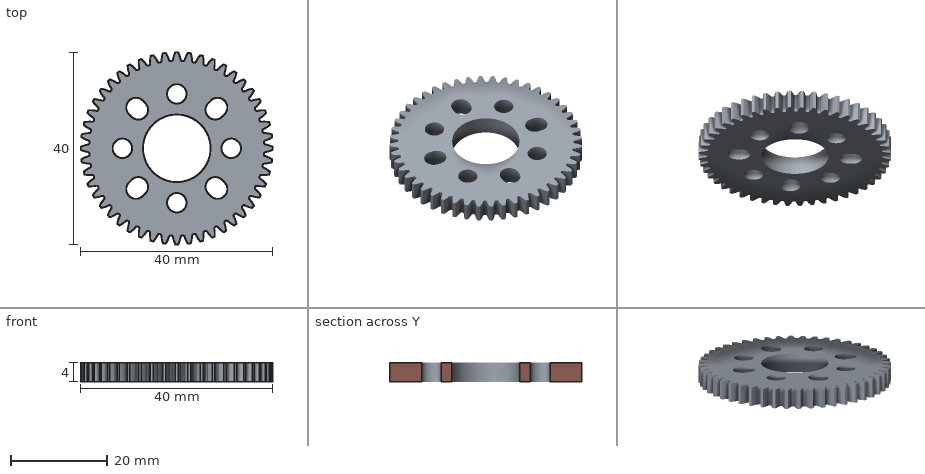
import cadquery as cq
import math

tooth_count = 48
outer_radius = 20.0
gear_module = 2 * outer_radius / (tooth_count + 2)
pitch_radius = gear_module * tooth_count / 2
dedendum = 1.25 * gear_module
root_radius = pitch_radius - dedendum
pressure_angle = math.radians(20)
base_radius = pitch_radius * math.cos(pressure_angle)
root_fillet = 0.3
thickness = 4.0

bore_diameter = 14.0
hole_diameter = 4.0
grid_offset = 8.0
hole_circle_radius = grid_offset * math.sqrt(2)
slot_outer_radius = 12.0
hole_count = 4

flank_points = 6


def polar(radius, angle):
    return (radius * math.cos(angle), radius * math.sin(angle))


def half_tooth_angle(radius):
    """Angle from the tooth centreline to its involute flank at a radius."""
    def involute(angle):
        return math.tan(angle) - angle

    half_angle_at_pitch = math.pi / (2 * tooth_count)
    local_angle = math.acos(base_radius / radius)
    return half_angle_at_pitch + involute(pressure_angle) - involute(local_angle)


def gear_blank():
    """Extruded gear outline with rounded tooth roots, one tooth centred on +X."""
    pitch_angle = 2 * math.pi / tooth_count
    radius_step = (outer_radius - root_radius) / (flank_points - 1)
    radii = [root_radius + i * radius_step for i in range(flank_points)]
    outline = cq.Workplane("XY").moveTo(*polar(root_radius, -half_tooth_angle(root_radius)))

    for tooth in range(tooth_count):
        centre = tooth * pitch_angle
        rising = [polar(r, centre - half_tooth_angle(r)) for r in radii]
        falling = [polar(r, centre + half_tooth_angle(r)) for r in reversed(radii)]
        next_root = polar(root_radius, centre + pitch_angle - half_tooth_angle(root_radius))
        outline = outline.spline(rising[1:], includeCurrent=True)
        outline = outline.threePointArc(polar(outer_radius, centre), falling[0])
        outline = outline.spline(falling[1:], includeCurrent=True)
        outline = outline.threePointArc(polar(root_radius, centre + pitch_angle / 2), next_root)

    blank = outline.close().extrude(thickness)

    def at_root(edge):
        middle = edge.Center()
        return math.hypot(middle.x, middle.y) < pitch_radius

    return blank.edges("|Z").filter(at_root).fillet(root_fillet)


def round_openings():
    """Central bore and the round holes on the X and Y axes."""
    bore = cq.Workplane("XY").circle(bore_diameter / 2).extrude(thickness)
    holes = (
        cq.Workplane("XY")
        .polarArray(hole_circle_radius, 0, 360, hole_count)
        .circle(hole_diameter / 2)
        .extrude(thickness)
    )
    return bore.union(holes)


def diagonal_slots():
    """Short radial slots midway between the round holes."""
    slot_travel = slot_outer_radius - hole_circle_radius
    slot_centre_radius = (slot_outer_radius + hole_circle_radius) / 2
    return (
        cq.Workplane("XY")
        .polarArray(slot_centre_radius, 180 / hole_count, 360, hole_count)
        .slot2D(slot_travel + hole_diameter, hole_diameter)
        .extrude(thickness)
    )


result = gear_blank().cut(round_openings()).cut(diagonal_slots())